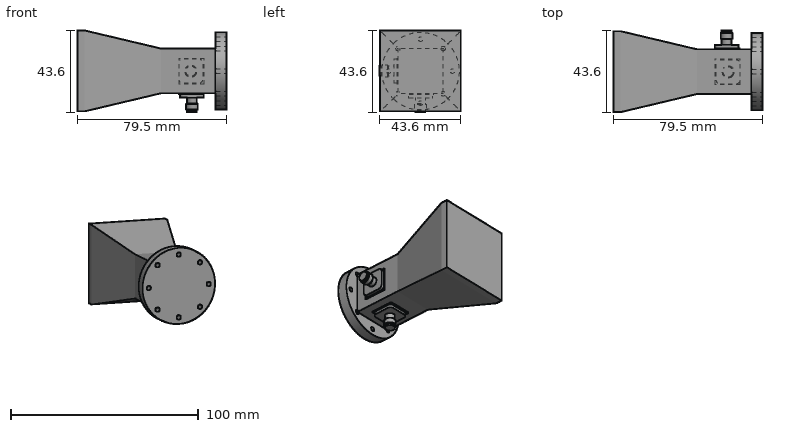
import cadquery as cq

TOTAL_LENGTH = 79.5
RIM_LENGTH = 4.0
TAPER_LENGTH = 40.55
MOUTH_SIDE = 43.2
GUIDE_SIDE = 23.9

FLANGE_THICKNESS = 6.0
FLANGE_DIAMETER = 41.3
BOLT_CIRCLE_RADIUS = 17.0
BOLT_HOLE_DIAMETER = 2.4
BOLT_COUNT = 8

SEAT_SIDE = 13.5
SEAT_HEIGHT = 0.5
SEAT_X = 60.65

PLATE_SIDE = 12.7
PLATE_CORNER_RADIUS = 2.0
PLATE_THICKNESS = 1.8
BARREL_RADIUS = 2.7
COLLAR_RADIUS = 3.2
COLLAR_CHAMFER = 0.5
COLLAR_LENGTH = 3.8
COLLAR_GAP = 2.9
TIP_LENGTH = 1.0
CONNECTOR_X_OFFSET = 0.36

TAPER_END_X = RIM_LENGTH + TAPER_LENGTH
FLANGE_X = TOTAL_LENGTH - FLANGE_THICKNESS
SEAT_FACE = GUIDE_SIDE / 2 + SEAT_HEIGHT

CONNECTOR_MOUNTS = [
    (cq.Vector(0, 0, -1), 1),
    (cq.Vector(0, 1, 0), -1),
]


def mount_plane(x, height, direction):
    """Plane at the given X and height from the horn axis, facing outward."""
    origin = cq.Vector(x, 0, 0) + direction * height
    return cq.Plane(origin=origin, xDir=cq.Vector(1, 0, 0), normal=direction)


def square_bar(x_start, x_end, side):
    return cq.Workplane("YZ", origin=(x_start, 0, 0)).rect(side, side).extrude(x_end - x_start)


def make_horn():
    rim = square_bar(0, RIM_LENGTH, MOUTH_SIDE)
    taper = (
        cq.Workplane("YZ", origin=(RIM_LENGTH, 0, 0))
        .rect(MOUTH_SIDE, MOUTH_SIDE)
        .workplane(offset=TAPER_LENGTH)
        .rect(GUIDE_SIDE, GUIDE_SIDE)
        .loft(ruled=True)
    )
    guide = square_bar(TAPER_END_X, FLANGE_X, GUIDE_SIDE)
    horn = rim.union(taper).union(guide)
    for direction, _ in CONNECTOR_MOUNTS:
        seat_plane = mount_plane(SEAT_X, GUIDE_SIDE / 2, direction)
        seat = cq.Workplane(seat_plane).rect(SEAT_SIDE, SEAT_SIDE).extrude(SEAT_HEIGHT)
        horn = horn.union(seat)
    return horn


def make_flange():
    disc = cq.Workplane("YZ", origin=(FLANGE_X, 0, 0)).circle(FLANGE_DIAMETER / 2).extrude(FLANGE_THICKNESS)
    bolt_holes = (
        cq.Workplane("YZ", origin=(FLANGE_X, 0, 0))
        .polarArray(BOLT_CIRCLE_RADIUS, 0, 360, BOLT_COUNT)
        .circle(BOLT_HOLE_DIAMETER / 2)
        .extrude(FLANGE_THICKNESS)
    )
    return disc.cut(bolt_holes)


def make_connector():
    """Connector standing on the XY plane, with its axis along Z."""
    plate = (
        cq.Workplane("XY")
        .rect(PLATE_SIDE, PLATE_SIDE)
        .extrude(PLATE_THICKNESS)
        .edges("|Z")
        .fillet(PLATE_CORNER_RADIUS)
    )
    collar_base = PLATE_THICKNESS + COLLAR_GAP
    collar = (
        cq.Workplane("XY", origin=(0, 0, collar_base))
        .circle(COLLAR_RADIUS)
        .extrude(COLLAR_LENGTH)
        .edges()
        .chamfer(COLLAR_CHAMFER)
    )
    barrel_top = collar_base + COLLAR_LENGTH + TIP_LENGTH
    barrel = cq.Workplane("XY").circle(BARREL_RADIUS).extrude(barrel_top)
    return plate.union(barrel).union(collar)


horn = make_horn()
flange = make_flange()
connector = make_connector().val()
connectors = []
for direction, offset_side in CONNECTOR_MOUNTS:
    connector_plane = mount_plane(SEAT_X + offset_side * CONNECTOR_X_OFFSET, SEAT_FACE, direction)
    connectors.append(connector.moved(cq.Location(connector_plane)))

result = cq.Compound.makeCompound([horn.val(), flange.val(), *connectors])